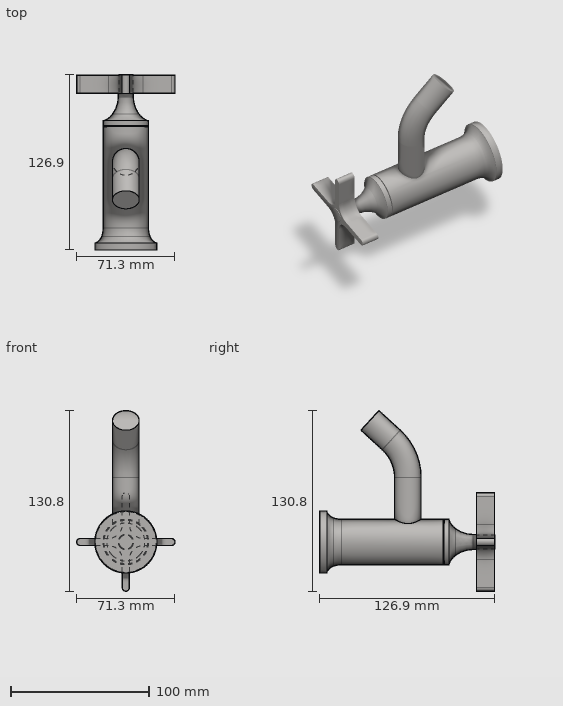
import cadquery as cq
import math


flange_radius = 22.5
flange_thickness = 5.2
barrel_radius = 16.5
barrel_end = 89.4
flare_end = 16.0
flare_middle = 10.0
flare_middle_radius = 17.5
flare_foot_radius = 22.0

spout_radius = 9.7
spout_y = 63.8
bend_start_z = 46.6
bend_radius = 37.0
bend_angle = 47.5
spout_tip_length = 20.9

neck_radius = 13.7
neck_length = 0.8
collar_start = barrel_end + neck_length
collar_end = 93.7
cone_foot_radius = 15.8
cone_middle = 98.4
cone_middle_radius = 9.7
cone_end = 111.0
stem_radius = 5.5
stem_tip_radius = 5.1

handle_span = 71.3
arm_thickness = 5.2
handle_front = 113.4
handle_back = 126.6
handle_fillet = 10.0
stem_end = 126.9


def revolve_about_y(profile):
    """Turn a closed (radius, Y) profile around the Y axis."""
    return profile.close().revolve(360, (0, 0, 0), (0, 1, 0))


def make_spout():
    """Pipe from the body axis up, around the bend and along the inclined tip."""
    angle = math.radians(bend_angle)

    def bend_point(turn):
        y = spout_y - bend_radius * (1 - math.cos(turn))
        return (y, bend_start_z + bend_radius * math.sin(turn))

    bend_end = bend_point(angle)
    tip = (
        bend_end[0] - spout_tip_length * math.sin(angle),
        bend_end[1] + spout_tip_length * math.cos(angle),
    )
    path = (
        cq.Workplane("YZ")
        .moveTo(spout_y, 0)
        .lineTo(spout_y, bend_start_z)
        .threePointArc(bend_point(angle / 2), bend_end)
        .lineTo(*tip)
    )
    return cq.Workplane("XY", origin=(0, spout_y, 0)).circle(spout_radius).sweep(path)


def make_body():
    """Flanged barrel with its spout."""
    barrel = revolve_about_y(
        cq.Workplane("XY")
        .moveTo(0, barrel_end)
        .lineTo(barrel_radius, barrel_end)
        .lineTo(barrel_radius, flare_end)
        .tangentArcPoint((flare_middle_radius, flare_middle), relative=False)
        .tangentArcPoint((flare_foot_radius, flange_thickness), relative=False)
        .lineTo(flange_radius, flange_thickness)
        .lineTo(flange_radius, 0)
        .lineTo(0, 0)
    )
    return barrel.union(make_spout())


def make_bonnet():
    """Neck, collar, concave cone and the stem that passes through the handle."""
    return revolve_about_y(
        cq.Workplane("XY")
        .moveTo(0, stem_end)
        .lineTo(stem_tip_radius, stem_end)
        .lineTo(stem_tip_radius, handle_front)
        .lineTo(stem_radius, handle_front)
        .lineTo(stem_radius, cone_end)
        .tangentArcPoint((cone_middle_radius, cone_middle), relative=False)
        .tangentArcPoint((cone_foot_radius, collar_end), relative=False)
        .lineTo(barrel_radius, collar_end)
        .lineTo(barrel_radius, collar_start)
        .lineTo(neck_radius, collar_start)
        .lineTo(neck_radius, barrel_end)
        .lineTo(0, barrel_end)
    )


def make_handle():
    """Cross of two round-ended bars with filleted inner corners and a stem hole."""
    depth = handle_back - handle_front
    plane = cq.Workplane("XZ", origin=(0, handle_front, 0))
    cross = plane.slot2D(handle_span, arm_thickness).extrude(-depth)
    cross = cross.union(plane.slot2D(handle_span, arm_thickness, 90).extrude(-depth))
    inner_corners = cq.selectors.BoxSelector(
        (-arm_thickness, handle_front, -arm_thickness),
        (arm_thickness, handle_back, arm_thickness),
    )
    cross = cross.edges("|Y").edges(inner_corners).fillet(handle_fillet)
    return cross.cut(plane.circle(stem_tip_radius).extrude(-depth))


body = make_body()
bonnet = make_bonnet()
handle = make_handle()

result = cq.Compound.makeCompound([body.val(), bonnet.val(), handle.val()])